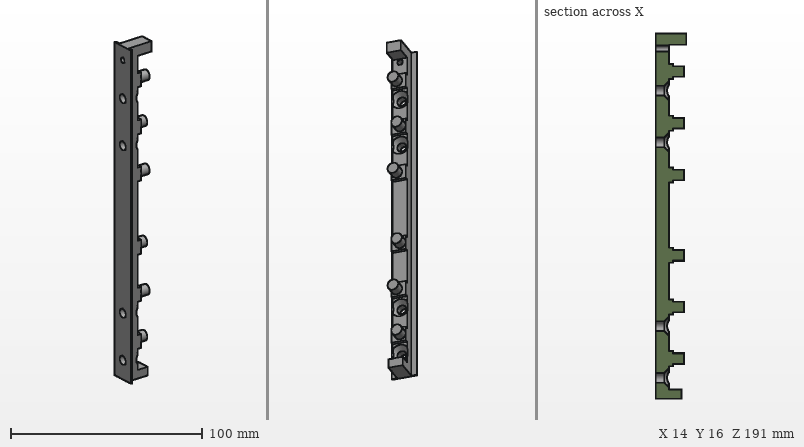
import cadquery as cq

length = 191.0
flange_width = 14.0
flange_thickness = 1.0
web_width = 8.0
web_depth = 7.0

top_hook_depth = 16.0
top_hook_height = 6.0
bottom_hook_depth = 13.5
bottom_hook_height = 5.0

pitch = 27.0
group_spacing = 96.0
pins_per_group = 3
first_pin_drop = 20.0
group_starts = [first_pin_drop, first_pin_drop + group_spacing]
pin_drops = [start + place * pitch for start in group_starts for place in range(pins_per_group)]
pad_depth = 9.1
pad_height = 8.0
pin_diameter = 6.0
pin_tip_depth = 14.8
pin_stagger = (web_width - pin_diameter) / 2

screw_below_pin = 10.0
pins_with_screws = [0, 1, 4, 5]
screw_diameter = 5.0
countersink_diameter = 10.0
countersink_angle = 90.0

small_hole_drop = 8.0
small_hole_diameter = 3.0


def block(width, depth, height, top_drop):
    """Box centred on X, from the front face back, hanging below top_drop."""
    box = cq.Workplane("XY").box(width, depth, height, centered=(True, False, False))
    return box.translate((0, 0, -top_drop - height))


def strip():
    """T-section strip with a hook at each end."""
    flange = block(flange_width, flange_thickness, length, 0)
    web = block(web_width, web_depth, length, 0)
    top_hook = block(web_width, top_hook_depth, top_hook_height, 0)
    bottom_hook_drop = length - bottom_hook_height
    bottom_hook = block(web_width, bottom_hook_depth, bottom_hook_height, bottom_hook_drop)
    return flange.union(web).union(top_hook).union(bottom_hook)


def pin_on_pad(x, drop):
    """Raised pad across the web, with a round pin pointing along +Y."""
    pad = block(web_width, pad_depth, pad_height, drop - pad_height / 2)
    pin_base = cq.Workplane("XZ", origin=(x, web_depth, -drop))
    pin = pin_base.circle(pin_diameter / 2).extrude(web_depth - pin_tip_depth)
    return pad.union(pin)


def at_web_back(body, drop):
    """Body with a workplane on the back of the web, facing +Y, at the given drop."""
    back = cq.Workplane("XZ", origin=(0, web_depth, -drop)).transformed(rotate=(0, 180, 0))
    return body.copyWorkplane(back)


result = strip()

for index, drop in enumerate(pin_drops):
    side = -1 if index % 2 else 1
    result = result.union(pin_on_pad(side * pin_stagger, drop))

for index in pins_with_screws:
    screw_face = at_web_back(result, pin_drops[index] + screw_below_pin)
    result = screw_face.cskHole(screw_diameter, countersink_diameter, countersink_angle)

result = at_web_back(result, small_hole_drop).hole(small_hole_diameter)